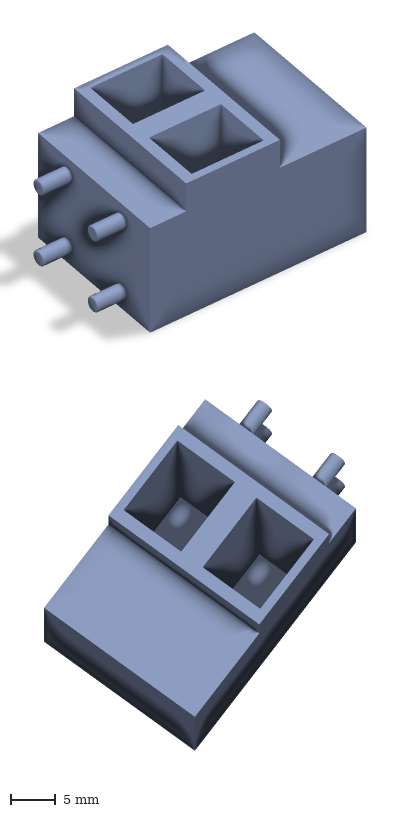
import cadquery as cq
import math

body_width = 21.0
body_length = 30.0
body_height = 15.0
rail_height = 4.0
rail_front = 5.0
rail_length = 13.0
rail_top = body_height + rail_height
rail_center = rail_front + rail_length / 2

pocket_width = 8.0
pocket_length = 10.0
pocket_pitch = 11.0
pocket_depth = 16.0
pocket_taper = 6.0
pocket_inset = pocket_depth * math.tan(math.radians(pocket_taper))

pin_pitch = 10.16
pin_diameter = 2.0
pin_length = 4.0
pin_fillet = 0.2


def make_housing():
    """Stepped side profile in the YZ plane, extruded across the width."""
    rail_back = rail_front + rail_length
    profile = [
        (0, 0),
        (body_length, 0),
        (body_length, body_height),
        (rail_back, body_height),
        (rail_back, rail_top),
        (rail_front, rail_top),
        (rail_front, body_height),
        (0, body_height),
    ]
    return cq.Workplane("YZ").polyline(profile).close().extrude(body_width / 2, both=True)


def make_pocket(x_center):
    """Volume of one pocket, tapering on all four sides to a flat floor."""
    return (
        cq.Workplane("XY", origin=(x_center, rail_center, rail_top))
        .rect(pocket_width, pocket_length)
        .workplane(offset=-pocket_depth)
        .rect(pocket_width - 2 * pocket_inset, pocket_length - 2 * pocket_inset)
        .loft(ruled=True)
    )


def make_pin(x_center, z_center):
    """Round pin pointing forward (-Y) with a rounded tip edge."""
    return (
        cq.Workplane("XZ", origin=(x_center, 0, z_center))
        .circle(pin_diameter / 2)
        .extrude(pin_length)
        .faces("<Y")
        .edges()
        .fillet(pin_fillet)
    )


result = make_housing()
for side in (-1, 1):
    result = result.cut(make_pocket(side * pocket_pitch / 2))

for side in (-1, 1):
    for level in (-1, 1):
        pin_x = side * pin_pitch / 2
        pin_z = body_height / 2 + level * pin_pitch / 2
        result = result.union(make_pin(pin_x, pin_z))